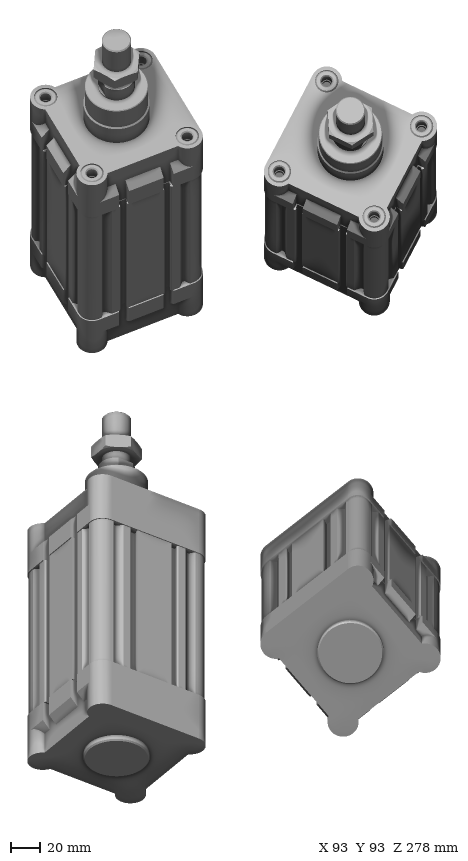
import cadquery as cq
import math

FOOT_HEIGHT = 4.2
CAP_HEIGHT = 36.0
BARREL_LENGTH = 116.2
TOTAL_HEIGHT = 278.0

CAP_WIDTH = 93.0
CAP_HALF = CAP_WIDTH / 2
BOSS_RADIUS = 10.5
BOSS_OFFSET = CAP_HALF - BOSS_RADIUS
CORE_HALF = 41.0
CAP_SLOT_INNER = 13.0
CAP_SLOT_OUTER = 20.5
BLOCK_HEIGHT = 14.7
BLOCK_ROOT_HEIGHT = BLOCK_HEIGHT + CAP_HALF - CORE_HALF

SCREW_HEAD_RADIUS = 15.8 / 2
SCREW_RIM_CHAMFER = 1.0
SOCKET_RADIUS = 7.5 / 2
SOCKET_CHAMFER = 0.8
SOCKET_DEPTH = 8.3
SOCKET_PILOT_RADIUS = 3.0
SOCKET_PILOT_DEPTH = 2.8

BARREL_HALF = 91.5 / 2
BARREL_CORNER_RADIUS = 9.7
SENSOR_SLOT_CENTER = 16.5
SENSOR_NECK_WIDTH = 5.0
SENSOR_SLOT_WIDTH = 6.5
SENSOR_LIP = 1.7
SENSOR_DEPTH = 4.5
SENSOR_CHAMFER = 0.8
GROOVE_START = 25.5
GROOVE_DEPTH = 3.5
GROOVE_FLOOR_START = 29.5
GROOVE_FLOOR_END = 30.9
GROOVE_WALL_DEPTH = 3.0
GROOVE_END = 33.5
GROOVE_LIP_WIDTH = 0.8
GROOVE_LIP_DEPTH = 0.5

COLLAR_RADIUS = 45.0 / 2
GUIDE_RADIUS = 43.0 / 2
GUIDE_STEP = COLLAR_RADIUS - GUIDE_RADIUS
COLLAR_HEIGHT = 16.5
GUIDE_HEIGHT = 18.0
GUIDE_CHAMFER = 0.5

ROD_RADIUS = 25.0 / 2
THREAD_RADIUS = 20.0 / 2
THREAD_ROOT_RADIUS = 18.3 / 2
THREAD_CHAMFER_HEIGHT = 0.8
THREAD_RELIEF_HEIGHT = 0.8
ROD_SHOULDER_HEIGHT = 11.7
FLATS_WIDTH = 22.0
FLATS_GAP = 1.0

NUT_WIDTH = 30.0
NUT_HEIGHT = 10.0
NUT_TOP_GAP = 22.8
NUT_FACE_RADIUS = 15.3
NUT_BEVEL_HEIGHT = 0.8

barrel_bottom = FOOT_HEIGHT + CAP_HEIGHT
barrel_top = barrel_bottom + BARREL_LENGTH
cap_top = barrel_top + CAP_HEIGHT
collar_top = cap_top + COLLAR_HEIGHT
guide_top = collar_top + GUIDE_HEIGHT
shoulder_top = guide_top + ROD_SHOULDER_HEIGHT
nut_top = TOTAL_HEIGHT - NUT_TOP_GAP
nut_bottom = nut_top - NUT_HEIGHT
boss_centers = [(x, y) for x in (-BOSS_OFFSET, BOSS_OFFSET) for y in (-BOSS_OFFSET, BOSS_OFFSET)]


def box(x_range, y_range, z_range):
    """Box between the given limits."""
    size = [high - low for low, high in (x_range, y_range, z_range)]
    return cq.Workplane("XY").box(*size, centered=False).translate((x_range[0], y_range[0], z_range[0]))


def turned(profile):
    """Solid of revolution about Z from (radius, z) points."""
    return cq.Workplane("XZ").polyline(profile).close().revolve(360, (0, 0, 0), (0, 1, 0))


def side_block(x_start, x_end):
    """Block on the -Y side of a cap, with its far end sloping back to the core."""
    profile = [
        (0, 0),
        (-CAP_HALF, 0),
        (-CAP_HALF, BLOCK_HEIGHT),
        (-CORE_HALF, BLOCK_ROOT_HEIGHT),
        (0, BLOCK_ROOT_HEIGHT),
    ]
    return cq.Workplane("YZ").workplane(offset=x_start).polyline(profile).close().extrude(x_end - x_start)


def make_cap():
    """End cap standing on the barrel end at Z = 0; its +Y side is plain, the others carry blocks."""
    cap = box((-CORE_HALF, CORE_HALF), (-CORE_HALF, CORE_HALF), (0, CAP_HEIGHT))
    cap = cap.union(box((-BOSS_OFFSET, BOSS_OFFSET), (0, CAP_HALF), (0, CAP_HEIGHT)))
    cap = cap.union(cq.Workplane("XY").pushPoints(boss_centers).circle(BOSS_RADIUS).extrude(CAP_HEIGHT))
    block_spans = [
        (-BOSS_OFFSET, -CAP_SLOT_OUTER),
        (-CAP_SLOT_INNER, CAP_SLOT_INNER),
        (CAP_SLOT_OUTER, BOSS_OFFSET),
    ]
    for angle in (-90, 0, 90):
        for x_start, x_end in block_spans:
            cap = cap.union(side_block(x_start, x_end).rotate((0, 0, 0), (0, 0, 1), angle))
    return cap


def screw_recess():
    """Ring groove around a screw head and the socket in it, with the top face at Z = 0."""
    groove = turned([
        (SCREW_HEAD_RADIUS - SCREW_RIM_CHAMFER, 0),
        (SCREW_HEAD_RADIUS, 0),
        (SCREW_HEAD_RADIUS, -SCREW_RIM_CHAMFER),
    ])
    pilot_floor = -SOCKET_DEPTH - SOCKET_PILOT_DEPTH
    socket = turned([
        (0, 0),
        (SOCKET_RADIUS + SOCKET_CHAMFER, 0),
        (SOCKET_RADIUS, -SOCKET_CHAMFER),
        (SOCKET_RADIUS, -SOCKET_DEPTH),
        (SOCKET_PILOT_RADIUS, -SOCKET_DEPTH),
        (SOCKET_PILOT_RADIUS, pilot_floor),
        (0, pilot_floor),
    ])
    return [groove, socket]


def sensor_slot():
    """T-slot in the -Y side of the barrel, chamfered at its outboard lip."""
    neck_start = SENSOR_SLOT_CENTER - SENSOR_NECK_WIDTH / 2
    neck_end = SENSOR_SLOT_CENTER + SENSOR_NECK_WIDTH / 2
    slot_start = SENSOR_SLOT_CENTER - SENSOR_SLOT_WIDTH / 2
    slot_end = SENSOR_SLOT_CENTER + SENSOR_SLOT_WIDTH / 2
    lip = SENSOR_LIP - BARREL_HALF
    floor = SENSOR_DEPTH - BARREL_HALF
    return [
        (neck_start, -BARREL_HALF),
        (neck_start, lip),
        (slot_start, lip),
        (slot_start, floor),
        (slot_end, floor),
        (slot_end, lip),
        (neck_end, lip),
        (neck_end, SENSOR_CHAMFER - BARREL_HALF),
        (neck_end + SENSOR_CHAMFER, -BARREL_HALF),
    ]


def corner_groove():
    """Groove beside a barrel corner: 45 degree inboard wall, small floor, steep chamfered outboard wall."""
    return [
        (GROOVE_START, -BARREL_HALF),
        (GROOVE_START + GROOVE_WALL_DEPTH, GROOVE_WALL_DEPTH - BARREL_HALF),
        (GROOVE_FLOOR_START, GROOVE_DEPTH - BARREL_HALF),
        (GROOVE_FLOOR_END, GROOVE_DEPTH - BARREL_HALF),
        (GROOVE_END - GROOVE_LIP_WIDTH, GROOVE_LIP_DEPTH - BARREL_HALF),
        (GROOVE_END, -BARREL_HALF),
    ]


def make_barrel():
    """Extruded profile with slots and grooves on all four sides, standing on Z = 0."""
    width = 2 * BARREL_HALF
    barrel = cq.Workplane("XY").rect(width, width).extrude(BARREL_LENGTH)
    barrel = barrel.edges("|Z").fillet(BARREL_CORNER_RADIUS)
    for outline in (sensor_slot(), corner_groove()):
        cutter = cq.Workplane("XY").polyline(outline).close().extrude(BARREL_LENGTH)
        for side_cutter in (cutter, cutter.mirror("YZ")):
            for angle in (0, 90, 180, 270):
                barrel = barrel.cut(side_cutter.rotate((0, 0, 0), (0, 0, 1), angle))
    return barrel


def make_housing():
    """Barrel, both caps, neck and foot as one body, bored for the rod."""
    cap = make_cap()
    housing = make_barrel().translate((0, 0, barrel_bottom))
    housing = housing.union(cap.translate((0, 0, barrel_top)))
    housing = housing.union(cap.mirror("XY").translate((0, 0, barrel_bottom)))
    neck = turned([
        (0, cap_top),
        (COLLAR_RADIUS, cap_top),
        (COLLAR_RADIUS, collar_top - GUIDE_STEP),
        (GUIDE_RADIUS, collar_top),
        (GUIDE_RADIUS, guide_top - GUIDE_CHAMFER),
        (GUIDE_RADIUS - GUIDE_CHAMFER, guide_top),
        (0, guide_top),
    ])
    foot = turned([
        (0, FOOT_HEIGHT),
        (COLLAR_RADIUS, FOOT_HEIGHT),
        (COLLAR_RADIUS, GUIDE_STEP),
        (GUIDE_RADIUS, 0),
        (0, 0),
    ])
    housing = housing.union(neck).union(foot)
    for x, y in boss_centers:
        for cutter in screw_recess():
            housing = housing.cut(cutter.translate((x, y, cap_top)))
    rod_bore = cq.Workplane("XY").workplane(offset=cap_top).circle(ROD_RADIUS).extrude(guide_top - cap_top)
    return housing.cut(rod_bore)


def make_rod():
    """Rod seated in the neck, with two wrench flats and a chamfered stud end."""
    rod = turned([
        (0, cap_top),
        (ROD_RADIUS, cap_top),
        (ROD_RADIUS, shoulder_top),
        (THREAD_ROOT_RADIUS, shoulder_top),
        (THREAD_RADIUS, shoulder_top + THREAD_RELIEF_HEIGHT),
        (THREAD_RADIUS, TOTAL_HEIGHT - THREAD_CHAMFER_HEIGHT),
        (THREAD_ROOT_RADIUS, TOTAL_HEIGHT),
        (0, TOTAL_HEIGHT),
    ])
    flat_z = (guide_top + FLATS_GAP, shoulder_top)
    for y_range in ((FLATS_WIDTH / 2, ROD_RADIUS), (-ROD_RADIUS, -FLATS_WIDTH / 2)):
        rod = rod.cut(box((-ROD_RADIUS, ROD_RADIUS), y_range, flat_z))
    return rod


def make_nut():
    """Hexagon lock nut with flats facing +X and -X and bevelled corners."""
    corner_radius = NUT_WIDTH / 2 / math.cos(math.pi / 6)
    hexagon = cq.Workplane("XY").workplane(offset=nut_bottom).polygon(6, 2 * corner_radius).extrude(NUT_HEIGHT)
    hexagon = hexagon.rotate((0, 0, 0), (0, 0, 1), 90)
    bevelled = turned([
        (THREAD_RADIUS, nut_bottom),
        (NUT_FACE_RADIUS, nut_bottom),
        (corner_radius, nut_bottom + NUT_BEVEL_HEIGHT),
        (corner_radius, nut_top - NUT_BEVEL_HEIGHT),
        (NUT_FACE_RADIUS, nut_top),
        (THREAD_RADIUS, nut_top),
    ])
    return hexagon.intersect(bevelled)


housing = make_housing()
rod = make_rod()
nut = make_nut()
result = cq.Compound.makeCompound([housing.val(), rod.val(), nut.val()])